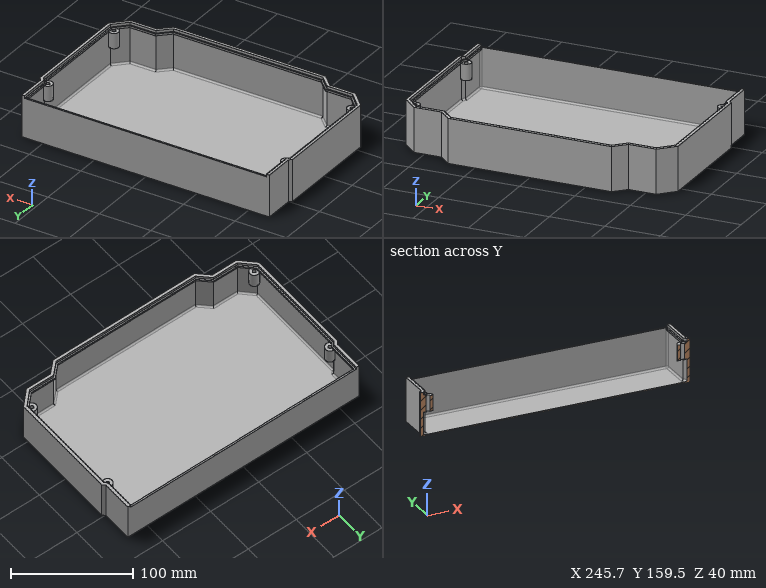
import cadquery as cq

length = 245.7
width = 159.5
height = 40.0

rear_half_length = 120.5
jog_rear_y = 50.5
corner_start_y = -56.0
corner_half_length = 109.4
shoulder_y = -69.5
shoulder_half_length = 84.3
front_half_length = 73.7

wall = 3.0
rear_wall = 1.6
floor = 1.5
inner_fillet = 1.6

seat_depth = 2.5
lip_width = 1.5
lip_height = 1.7

boss_diameter = 9.0
screw_hole_diameter = 3.2
boss_height = 14.5
boss_x = 115.7
boss_rear_y = 47.0
boss_front_y = -53.8

half_length = length / 2
half_width = width / 2
jog_front_y = jog_rear_y - (half_length - rear_half_length)
seat_z = height - seat_depth
lip_bottom_z = seat_z - lip_height


def outline(z, inset, rear_y):
    """Tray outline at height z, moved inwards by inset, with its rear side at rear_y."""
    right_side = [
        (front_half_length, -half_width),
        (shoulder_half_length, shoulder_y),
        (corner_half_length, shoulder_y),
        (half_length, corner_start_y),
        (half_length, jog_front_y),
        (rear_half_length, jog_rear_y),
        (rear_half_length, rear_y + inset),
    ]
    left_side = [(-x, y) for x, y in reversed(right_side)]
    sketch = cq.Workplane("XY", origin=(0, 0, z)).polyline(right_side + left_side).close()
    if inset > 0:
        sketch = sketch.offset2D(-inset, "intersection")
    return sketch


def make_cavity():
    """Space between the walls below the lip, with rounded rear corners and floor edge."""
    rear_inner_y = half_width - rear_wall
    cavity = outline(floor, wall, rear_inner_y).extrude(lip_bottom_z - floor)
    cavity = cavity.edges("|Z and >Y").fillet(inner_fillet)
    return cavity.faces("<Z").edges().fillet(inner_fillet)


def make_lip_opening():
    """Opening through the lip, reaching back to the thin rear wall."""
    return outline(lip_bottom_z, wall + lip_width, half_width - rear_wall).extrude(lip_height)


def make_cover_seat():
    """Recess for the cover, open through the rear so that the rear wall is lower."""
    return outline(seat_z, wall, half_width + wall).extrude(seat_depth)


def boss_cylinders(diameter):
    """Four upright cylinders hanging down from the underside of the lip."""
    centres = [(side * boss_x, y) for side in (-1, 1) for y in (boss_rear_y, boss_front_y)]
    plane = cq.Workplane("XY", origin=(0, 0, lip_bottom_z))
    return plane.pushPoints(centres).circle(diameter / 2).extrude(-boss_height)


body = outline(0, 0, half_width).extrude(height)
tray = body.cut(make_cavity()).cut(make_lip_opening()).cut(make_cover_seat())
bosses = boss_cylinders(boss_diameter)
result = tray.union(bosses).cut(boss_cylinders(screw_hole_diameter))